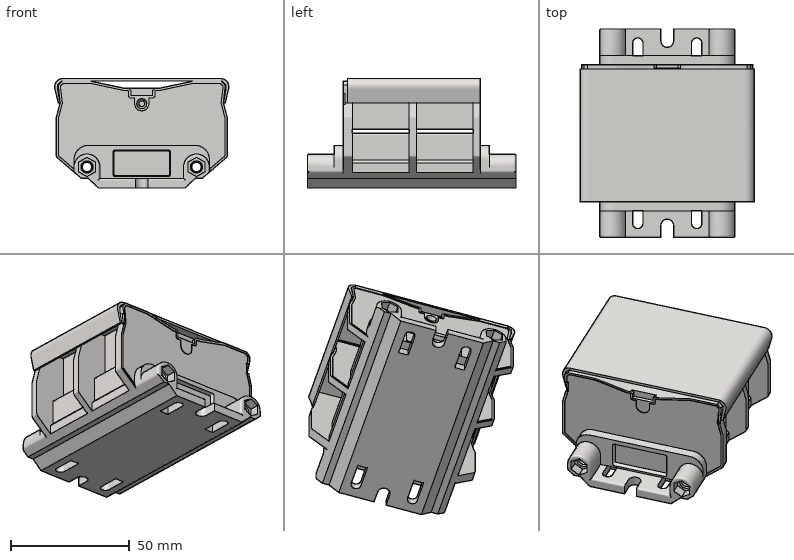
import cadquery as cq
import math

base_length = 88.0
body_length = 57.9
height = 46.2
end_y = base_length / 2
wall_y = body_length / 2

lid_half_width = 36.74
lid_radius = 3.6
lid_tilt = math.radians(14)
lid_bottom = 35.9
lid_thickness = 1.1
lid_rear_setback = 1.85
lid_gap = 0.3
roof_z = height - lid_thickness

side_x = 36.1
side_top = 29.6
side_bottom = 13.2
waist_x = 34.4
shoulder_x = 35.4
shoulder_top = 43.4
shoulder_bottom = 41.7
roof_x = 33.8
foot_x = 18.2
step_inner_x = 22.5
step_outer_x = 25.4
plate_top = 4.05
corner_radius = 1.3

valley_half_width = 21.3
valley_floor_half_width = 7.3
valley_floor = 42.1

notch_half_width = 4.6
notch_top_half_width = 5.5
notch_chamfer = notch_top_half_width - notch_half_width
notch_floor = 39.0
front_notch_depth = 6.2
rear_notch_depth = 1.5
screw_z = 35.55
screw_boss_radius = 3.0
screw_mouth_radius = 2.1
screw_floor_radius = 1.2
screw_depth = 2.6

rim_width = 1.0
panel_depth = 0.3

bays = [(-25.9, -2.0), (1.1, 25.0)]
slit_bottom = 23.1
slit_top = 24.7
block_x = 27.2
block_foot_x = 28.4
block_foot_top = 10.65
block_round = 1.1

relief_x = 33.6
relief_bottom = 35.1
relief_top = 39.9
relief_depth = 0.9

pad_top = 18.0
pad_radius = 6.2
pad_face_y = 32.7
boss_x = 23.1
boss_z = 8.9
boss_radius = 5.5
pad_half_width = boss_x + boss_radius
bolt_diameter = 4.0
bolt_sink_diameter = 5.1
nut_across_flats = 7.0
nut_depth = 4.4
end_round = 0.9
embed = 1.8
window_width = 24.2
window_bottom = 4.9
window_top = 16.0
window_radius = 0.9
window_depth = 1.9
window_taper = 13
slot_x = 12.4
slot_width = 4.2
slot_end_y = 40.1
mouth_width = 5.3
mouth_inner_y = 36.3


def mirrored(right_half):
    """Close an outline from its right half, listed from bottom to top."""
    return right_half + [(-x, z) for x, z in reversed(right_half)]


def prism(points, y_start, y_stop):
    """Extrude an XZ outline between two Y positions."""
    return cq.Workplane("XZ", origin=(0, y_start, 0)).polyline(points).close().extrude(y_start - y_stop)


def box(x_range, y_range, z_range):
    """Box given by its limits along each axis."""
    size = [stop - start for start, stop in (x_range, y_range, z_range)]
    corner = (x_range[0], y_range[0], z_range[0])
    return cq.Workplane("XY", origin=corner).box(*size, centered=False)


def both_sides(shape):
    """Join a shape with its mirror image across X = 0."""
    return shape.union(shape.mirror("YZ"))


side_slope = (side_bottom - plate_top) / (side_x - step_outer_x)
foot_outline = [(foot_x, 0), (step_inner_x, plate_top), (step_outer_x, plate_top)]
shoulder_outline = [
    (waist_x, lid_bottom),
    (shoulder_x - lid_gap, shoulder_bottom),
    (shoulder_x - lid_gap, shoulder_top),
    (roof_x - lid_gap, roof_z),
]
lid_cavity_outline = [
    (waist_x, lid_bottom),
    (shoulder_x, shoulder_bottom),
    (shoulder_x, shoulder_top),
    (roof_x, roof_z),
]
side_outline = foot_outline + [(side_x, side_bottom), (side_x, side_top)] + shoulder_outline
valley_outline = [(valley_half_width, roof_z), (valley_floor_half_width, valley_floor)]
body_outline = mirrored(side_outline + valley_outline)
notch_outline = [
    (notch_half_width, notch_floor),
    (notch_half_width, valley_floor - notch_chamfer),
    (notch_top_half_width, valley_floor),
]


def round_lower_corners(shape, corner_z):
    """Round the lengthwise edges where the vertical sides meet the sloped underside."""
    near_corner = cq.selectors.BoxSelector(
        (-side_x - 0.9, -end_y, corner_z - 0.4), (side_x + 0.9, end_y, corner_z + 0.4)
    )
    return shape.edges("|Y").edges(near_corner).fillet(corner_radius)


def bay_space(y_start, y_stop):
    """Open space of a side bay: around the block, above it and the slit across the body."""
    y_range = (y_start, y_stop)
    outer = side_x + 0.9
    above_block = box((valley_half_width, outer), y_range, (slit_top, roof_z))
    beside_foot = box((block_foot_x, outer), y_range, (0, slit_top))
    shift = block_foot_x - block_x
    beside_block = prism(
        [
            (block_x, slit_top),
            (block_x, block_foot_top + shift),
            (block_foot_x, block_foot_top),
            (outer, block_foot_top),
            (outer, slit_top),
        ],
        y_start,
        y_stop,
    )
    rounded_top = (
        cq.Workplane("XZ", origin=(0, y_start, 0))
        .moveTo(block_x, slit_bottom - block_round)
        .radiusArc((block_x - block_round, slit_bottom), -block_round)
        .lineTo(block_x, slit_bottom)
        .close()
        .extrude(y_start - y_stop)
    )
    slit = box((-outer, outer), y_range, (slit_bottom, slit_top))
    side = above_block.union(beside_foot).union(beside_block).union(rounded_top)
    return both_sides(side).union(slit)


def panel_space(y_start, y_stop):
    """Area inside the wall rim, passing around the notch and the screw boss."""
    outline = mirrored(side_outline + valley_outline + notch_outline[::-1])
    length = y_start - y_stop
    workplane = cq.Workplane("XZ", origin=(0, y_start, 0))
    panel = workplane.polyline(outline).close().offset2D(-rim_width).extrude(length)
    boss = workplane.center(0, screw_z).circle(screw_boss_radius).extrude(length)
    boss_stem = box((-screw_boss_radius, screw_boss_radius), (y_start, y_stop), (screw_z, notch_floor))
    return panel.cut(boss).cut(boss_stem)


def screw_hole():
    """Tapered blind hole in the front wall."""
    return (
        cq.Workplane("XZ", origin=(0, -wall_y, screw_z))
        .circle(screw_mouth_radius)
        .workplane(offset=-screw_depth)
        .circle(screw_floor_radius)
        .loft()
    )


def make_lid():
    """Bent lid with rounded top corners and inward-leaning sides."""
    center_x = lid_half_width - lid_radius
    center_z = height - lid_radius
    tangent_x = center_x + lid_radius * math.cos(lid_tilt)
    tangent_z = center_z - lid_radius * math.sin(lid_tilt)
    bottom_x = tangent_x - (tangent_z - lid_bottom) * math.tan(lid_tilt)
    lid_rear_y = wall_y - lid_rear_setback
    shell = (
        cq.Workplane("XZ", origin=(0, -wall_y, 0))
        .moveTo(-bottom_x, lid_bottom)
        .lineTo(bottom_x, lid_bottom)
        .lineTo(tangent_x, tangent_z)
        .threePointArc((lid_half_width, center_z), (center_x, height))
        .lineTo(-center_x, height)
        .threePointArc((-lid_half_width, center_z), (-tangent_x, tangent_z))
        .close()
        .extrude(-wall_y - lid_rear_y)
    )
    return shell.cut(prism(mirrored(lid_cavity_outline), -wall_y, lid_rear_y))


def make_front_mount():
    """Pad, two nut bosses and slotted flange plate on the -Y end."""
    inner_y = -wall_y + embed
    pad_face = cq.Workplane("XZ", origin=(0, -pad_face_y, 0))
    pad = box((-pad_half_width, pad_half_width), (-pad_face_y, inner_y), (0, pad_top))
    pad = pad.edges("|Y and >Z").fillet(pad_radius)
    window_height = window_top - window_bottom
    window = (
        pad_face.center(0, window_bottom + window_height / 2)
        .sketch()
        .rect(window_width, window_height)
        .vertices()
        .fillet(window_radius)
        .finalize()
        .extrude(-window_depth, taper=window_taper)
    )
    pad = pad.cut(window)

    flange = box((-boss_x, boss_x), (-end_y, inner_y), (0, plate_top))
    for x in (-boss_x, boss_x):
        column = box((x - boss_radius, x + boss_radius), (-end_y, inner_y), (0, boss_z))
        tube = cq.Workplane("XZ", origin=(x, -end_y, boss_z)).circle(boss_radius).extrude(-end_y - inner_y)
        flange = flange.union(column).union(tube)
    flange = flange.faces("<Y").edges("not(<Z)").fillet(end_round)

    corner_z = plate_top + (pad_half_width - step_outer_x) * side_slope
    envelope_outline = foot_outline + [(pad_half_width, corner_z), (pad_half_width, height)]
    envelope = prism(mirrored(envelope_outline), -end_y, inner_y)
    envelope = round_lower_corners(envelope, corner_z)
    mount = flange.union(pad).intersect(envelope)

    slot_length = 2 * (slot_end_y - pad_face_y)
    slots = (
        cq.Workplane("XY")
        .pushPoints([(-slot_x, -pad_face_y), (slot_x, -pad_face_y)])
        .slot2D(slot_length, slot_width, 90)
        .extrude(plate_top)
        .intersect(box((-side_x, side_x), (-end_y, -wall_y), (0, plate_top)))
    )
    mouth_length = 2 * (end_y - mouth_inner_y)
    mouth = cq.Workplane("XY").center(0, -end_y).slot2D(mouth_length, mouth_width, 90).extrude(plate_top)
    mouth = mouth.union(box((-mouth_width / 2, mouth_width / 2), (-end_y, -end_y + 4.4), (0, plate_top)))
    return mount.cut(slots).cut(mouth)


def nut_pockets():
    """Hexagonal nut pockets with a countersunk floor, opening on the -Y end."""
    sink_depth = (bolt_sink_diameter - bolt_diameter) / 2
    end_face = cq.Workplane("XZ", origin=(0, -end_y, boss_z))
    centers = [(-boss_x, 0), (boss_x, 0)]
    pockets = end_face.pushPoints(centers).polygon(6, nut_across_flats, circumscribed=True).extrude(-nut_depth)
    for x, _ in centers:
        sink = (
            end_face.workplane(offset=-nut_depth)
            .center(x, 0)
            .circle(bolt_sink_diameter / 2)
            .workplane(offset=-sink_depth)
            .circle(bolt_diameter / 2)
            .loft()
        )
        pockets = pockets.union(sink)
    return pockets


body = round_lower_corners(prism(body_outline, -wall_y, wall_y), side_bottom)
for bay_front, bay_back in bays:
    body = body.cut(bay_space(bay_front, bay_back))

rib_front = bays[0][1]
rib_panel = (rib_front, rib_front + panel_depth)
body = body.cut(panel_space(-wall_y, -wall_y + panel_depth))
body = body.cut(panel_space(*rib_panel).intersect(bay_space(*rib_panel)))
body = body.cut(panel_space(wall_y - panel_depth, wall_y))

body = body.cut(prism(mirrored(notch_outline), -wall_y, -wall_y + front_notch_depth))
body = body.cut(prism(mirrored(notch_outline), wall_y - rear_notch_depth, wall_y))
body = body.cut(screw_hole())
relief = box((relief_x, side_x), (wall_y - relief_depth, wall_y), (relief_bottom, relief_top))
body = body.cut(both_sides(relief))

front_mount = make_front_mount()
front_nuts = nut_pockets()
bolt_holes = (
    cq.Workplane("XZ", origin=(0, -end_y, boss_z))
    .pushPoints([(-boss_x, 0), (boss_x, 0)])
    .circle(bolt_diameter / 2)
    .extrude(-base_length)
)
result = body.union(make_lid()).union(front_mount).union(front_mount.mirror("XZ"))
result = result.cut(front_nuts).cut(front_nuts.mirror("XZ")).cut(bolt_holes)